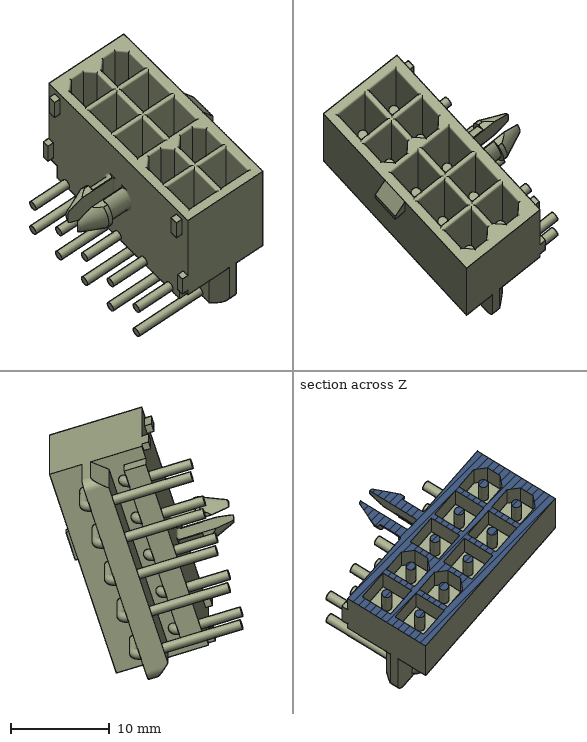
import cadquery as cq
import math


width = 22.28
depth = 9.83
height = 12.75

columns = 5
pitch = 4.15
front_row_y = 2.85
row_ys = [front_row_y, front_row_y + pitch]
column_xs = [(i - (columns - 1) / 2) * pitch for i in range(columns)]
keyed_columns = (0, 3)

cavity_size = 3.97
cavity_depth = 9.8
key_cut = 1.11
mouth_radius = 0.22

pin_diameter = 1.02
pin_bend_radius = 1.54
pin_reach = 4.41
pin_top_z = 7.8
upper_run_z = -1.45

skirt_inset = 1.34
lip_depth = 2.3
lip_height = 2.03
plate_front_y = 3.9
plate_depth = 2.47
plate_slant_depth = 1.54
plate_height = pitch - upper_run_z + pin_diameter / 2
plate_corner_radius = 1.05

pad_height = 2.58
pad_reach = 0.71
upper_pad_width = 0.85
upper_pad_x = 9.75
upper_pad_z = 10.67
lower_pad_width = 0.74
lower_pad_z = 2.05

latch_width = 3.12
latch_reach = 1.31
latch_drop = 2.55
latch_undercut = 0.1
latch_ramp_drop = 1.85

peg_z = 5.84
peg_slot = 1.5
peg_height = 3.6
shank_radius = 1.98
root_fillet = 0.25
head_radius = 2.36
head_start = 2.65
head_end = 3.16
tip_radius = 1.18
tip_rounding = 0.27
peg_reach = 5.95


def block(x_size, y_range, z_range, x_mid=0.0):
    """Box centred on x_mid that fills the given Y and Z ranges."""
    y_low, y_high = y_range
    z_low, z_high = z_range
    box = cq.Workplane("XY").box(x_size, y_high - y_low, z_high - z_low, centered=(True, False, False))
    return box.translate((x_mid, y_low, z_low))


def cavity(keyed):
    """Tool for one terminal cavity; a keyed one has its two -X corners cut off."""
    size = cavity_size - 2 * mouth_radius
    tool = block(size, (-size / 2, size / 2), (height - cavity_depth, height))
    if not keyed:
        return tool
    return tool.edges("|Z and <X").chamfer(key_cut - mouth_radius * (2 - math.sqrt(2)))


def pin(row_y, run_z):
    """Round pin that drops from its cavity, bends and runs out past the front face."""
    bend_mid = pin_bend_radius * (1 - math.sqrt(0.5))
    path = (
        cq.Workplane("YZ")
        .moveTo(row_y, pin_top_z)
        .lineTo(row_y, run_z + pin_bend_radius)
        .threePointArc((row_y - bend_mid, run_z + bend_mid), (row_y - pin_bend_radius, run_z))
        .lineTo(-pin_reach, run_z)
    )
    start = cq.Plane(origin=(0, row_y, pin_top_z), xDir=(0, -1, 0), normal=(0, 0, 1))
    return cq.Workplane(start).circle(pin_diameter / 2).sweep(path)


def plate():
    """Tall plate with slanted front edges and rounded lower corners."""
    half = width / 2
    back_y = plate_front_y + plate_depth
    slant_y = plate_front_y + plate_slant_depth
    outline = [
        (-half, back_y),
        (-half, slant_y),
        (skirt_inset - half, plate_front_y),
        (half - skirt_inset, plate_front_y),
        (half, slant_y),
        (half, back_y),
    ]
    solid = cq.Workplane("XY").polyline(outline).close().extrude(-plate_height)
    rounded = block(width, (plate_front_y, back_y), (-plate_height, 0))
    rounded = rounded.edges("|Y and <Z").fillet(plate_corner_radius)
    return solid.intersect(rounded)


def latch():
    """Ramped catch on the back face."""
    tip_y = depth + latch_reach
    profile = [
        (depth, height),
        (tip_y, height - latch_ramp_drop),
        (tip_y, height - latch_drop - latch_undercut),
        (depth, height - latch_drop),
    ]
    return cq.Workplane("YZ").polyline(profile).close().extrude(latch_width / 2, both=True)


def peg():
    """Both halves of the split peg, on the front face."""
    face = cq.Workplane("XZ", origin=(0, 0, peg_z))
    slot = block(peg_slot, (-peg_reach, 0), (peg_z - head_radius, peg_z + head_radius))

    sheet_thickness = 0.22
    sheet_size = 3 * head_radius
    sheet = face.rect(sheet_size, sheet_size).extrude(-sheet_thickness)
    shank = face.circle(shank_radius).extrude(head_start).cut(slot)
    root = cq.selectors.BoxSelector(
        (-head_radius, -root_fillet / 2, peg_z - head_radius),
        (head_radius, root_fillet / 2, peg_z + head_radius),
    )
    shank = sheet.union(shank).edges(root).fillet(root_fillet)

    head_profile = [
        (0, -head_start),
        (head_radius, -head_start),
        (head_radius, -head_end),
        (tip_radius, -peg_reach),
        (0, -peg_reach),
    ]
    head = cq.Workplane("XY").polyline(head_profile).close().revolve(360, (0, 0, 0), (0, 1, 0))
    head = head.faces("<Y").edges().fillet(tip_rounding)
    head = head.translate((0, 0, peg_z)).cut(slot)

    flats = block(2 * head_radius, (-peg_reach, 0), (peg_z - peg_height / 2, peg_z + peg_height / 2))
    return shank.union(head).intersect(flats)


result = block(width, (0, depth), (0, height))

skirt_width = width - 2 * skirt_inset
result = result.union(block(skirt_width, (0, lip_depth), (-lip_height, 0)))
result = result.union(plate()).union(latch()).union(peg())

lower_pad_x = (width - lower_pad_width) / 2
for side in (-1, 1):
    for pad_x, pad_z, pad_width in (
        (upper_pad_x, upper_pad_z, upper_pad_width),
        (lower_pad_x, lower_pad_z, lower_pad_width),
    ):
        pad_z_range = (pad_z - pad_height / 2, pad_z + pad_height / 2)
        result = result.union(block(pad_width, (-pad_reach, 0), pad_z_range, side * pad_x))

for column, x in enumerate(column_xs):
    for row_y in row_ys:
        result = result.cut(cavity(column in keyed_columns).translate((x, row_y, 0)))

rim_margin = 0.22
mouths = cq.selectors.BoxSelector(
    (rim_margin - width / 2, rim_margin, height - rim_margin),
    (width / 2 - rim_margin, depth - rim_margin, height + rim_margin),
)
result = result.edges(mouths).fillet(mouth_radius)

for x in column_xs:
    for row_y in row_ys:
        run_z = upper_run_z - (row_y - front_row_y)
        result = result.union(pin(row_y, run_z).translate((x, 0, 0)))